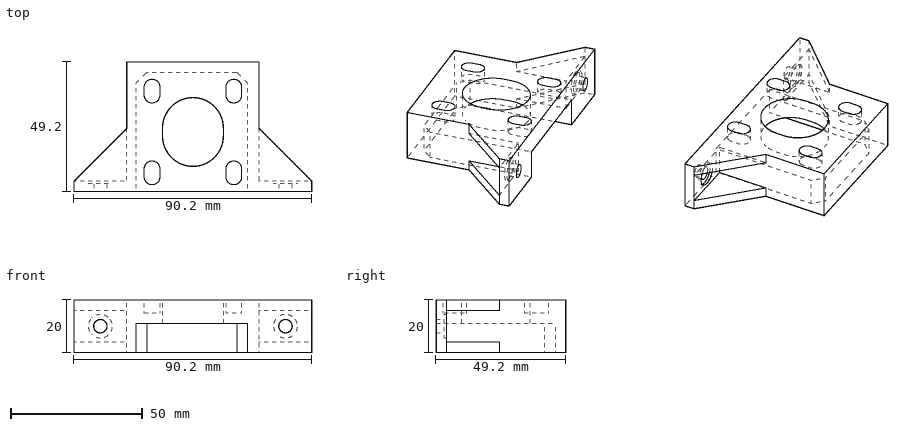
import cadquery as cq

motor_width = 42.2
motor_corner_chamfer = 4.0
pocket_offset_x = -0.4
slide_travel = 3.0
screw_spacing = 31.0
screw_slot_width = 6.0
screw_slot_depth = 5.0
boss_opening_width = 23.0

wall = 4.0
height = 20.0
pocket_height = 11.0
block_width = motor_width + 2 * wall
pocket_length = motor_width + slide_travel
block_length = pocket_length + wall
motor_center_y = pocket_length / 2

wing_width = 20.0
flange_thickness = 4.0
gusset_thickness = 4.0
mount_hole_diameter = 5.0
screw_head_diameter = 9.0
screw_head_recess = 1.0
flange_width = block_width + 2 * wing_width
mount_hole_x = block_width / 2 + wing_width / 2
gusset_end_y = flange_thickness + wing_width


def make_block():
    """Square block that houses the motor."""
    return cq.Workplane("XY").box(block_width, block_length, height, centered=(True, False, False))


def make_flange():
    """Upright plate along the front edge, wider than the block."""
    return cq.Workplane("XY").box(flange_width, flange_thickness, height, centered=(True, False, False))


def make_gusset_plate(bottom_z):
    """Plate tapering at 45 degrees from the flange ends to both block sides."""
    outline = [
        (-flange_width / 2, flange_thickness),
        (flange_width / 2, flange_thickness),
        (block_width / 2, gusset_end_y),
        (-block_width / 2, gusset_end_y),
    ]
    return cq.Workplane("XY", origin=(0, 0, bottom_z)).polyline(outline).close().extrude(gusset_thickness)


def make_motor_pocket():
    """Recess open below and in front, with both rear corners chamfered."""
    pocket = cq.Workplane("XY").box(motor_width, pocket_length, pocket_height, centered=(True, False, False))
    return pocket.edges("|Z and >Y").chamfer(motor_corner_chamfer).translate((pocket_offset_x, 0, 0))


def make_slot_cutter(center_points, width, depth):
    """Slots along Y, cut down from the top face and lengthened by the slide travel."""
    return (
        cq.Workplane("XY", origin=(0, motor_center_y, height))
        .pushPoints(center_points)
        .slot2D(width + slide_travel, width, 90)
        .extrude(-depth)
    )


def make_wing_cylinders(diameter, start_y, length):
    """One cylinder along +Y on the screw axis of each wing."""
    return (
        cq.Workplane("XZ", origin=(0, start_y, height / 2))
        .pushPoints([(-mount_hole_x, 0), (mount_hole_x, 0)])
        .circle(diameter / 2)
        .extrude(-length)
    )


def make_mount_holes():
    """Holes through the flange, counterbored from its rear face for the screw heads."""
    holes = make_wing_cylinders(mount_hole_diameter, 0, flange_thickness)
    recess_start_y = flange_thickness - screw_head_recess
    return holes.union(make_wing_cylinders(screw_head_diameter, recess_start_y, screw_head_recess))


screw_centers = [
    (x_side * screw_spacing / 2, y_side * screw_spacing / 2)
    for x_side in (-1, 1)
    for y_side in (-1, 1)
]

body = make_block().union(make_flange())
for gusset_bottom in (0, height - gusset_thickness):
    body = body.union(make_gusset_plate(gusset_bottom))

result = (
    body.cut(make_motor_pocket())
    .cut(make_slot_cutter([(0, 0)], boss_opening_width, height))
    .cut(make_slot_cutter(screw_centers, screw_slot_width, screw_slot_depth))
    .cut(make_mount_holes())
)